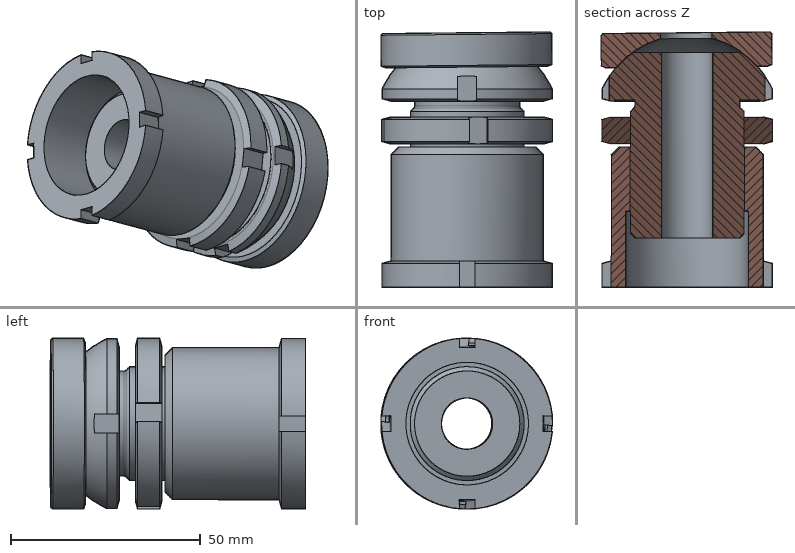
import cadquery as cq
import math


TOTAL_LENGTH = 67.3
OUTER_RADIUS = 22.55
THREAD_RADIUS = 15.0
BORE_RADIUS = 6.7
EDGE_TOLERANCE = 0.1
RIM_BEVEL_ANGLE = 15.0
SLOT_COUNT = 4
SPANNER_SLOT_WIDTH = 5.0

SLEEVE_RADIUS = 20.05
SLEEVE_LENGTH = 37.0
SLEEVE_CHAMFER = 2.0
FLANGE_THICKNESS = 7.0
CLEARANCE_RADIUS = 16.15
CLEARANCE_DEPTH = 20.0
FLANGE_SLOT_WIDTH = 4.05

SPINDLE_START = 13.0
THREAD_END = 47.4
NECK_RADIUS = 13.85
THREAD_CHAMFER = THREAD_RADIUS - NECK_RADIUS
NECK_FILLET = 0.75
HEAD_START = 49.0
HEAD_BEVEL_RADIUS = 20.05
HEAD_RECESS_RADIUS = 19.1
HEAD_RECESS_DEPTH = 0.35
BALL_START = 52.3
HEAD_END = 61.9
BALL_RADIUS = 25.0
BALL_CENTRE = BALL_START - math.sqrt(BALL_RADIUS**2 - OUTER_RADIUS**2)
HEAD_SLOT_FLOOR = 20.5

NUT_START = 37.8
NUT_THICKNESS = 7.0
NUT_BEVEL_RADIUS = 20.4
NUT_SLOT_FLOOR = NUT_BEVEL_RADIUS
NUT_TURN = 7.8

WASHER_THICKNESS = 9.1
WASHER_FRONT_BEVEL = 1.2
WASHER_CHAMFER = 0.5
WASHER_TILT = 0.57
TILT = math.radians(WASHER_TILT)
WASHER_EDGE_RISE = (OUTER_RADIUS - WASHER_CHAMFER) * math.sin(TILT)
WASHER_END = BALL_CENTRE + (TOTAL_LENGTH - BALL_CENTRE - WASHER_EDGE_RISE) / math.cos(TILT)
WASHER_START = WASHER_END - WASHER_THICKNESS


def bevel_depth(inner_radius):
    """Axial depth of a shallow bevel from inner_radius out to the outer radius."""
    return (OUTER_RADIUS - inner_radius) * math.tan(math.radians(RIM_BEVEL_ANGLE))


def revolve_about_y(outline):
    """Turn a closed outline of radius (X) and height (Y) about the Y axis."""
    return outline.close().revolve(360, (0, 0, 0), (0, 1, 0))


def rim_slots(width, floor_radius, start, end, turn=0.0):
    """Flat-bottomed slots spaced evenly around the rim, from start to end along Y."""
    depth = 2 * (OUTER_RADIUS - floor_radius)
    slots = cq.Workplane("XY")
    for index in range(SLOT_COUNT):
        slot = (
            cq.Workplane("XY")
            .box(width, end - start, depth, centered=(True, False, False))
            .translate((0, start, floor_radius))
            .rotate((0, 0, 0), (0, 1, 0), turn + index * 360 / SLOT_COUNT)
        )
        slots = slots.add(slot)
    return slots.combine()


def make_sleeve():
    bevel_start = FLANGE_THICKNESS - bevel_depth(SLEEVE_RADIUS)
    body = revolve_about_y(
        cq.Workplane("XY")
        .moveTo(CLEARANCE_RADIUS, 0)
        .lineTo(OUTER_RADIUS, 0)
        .lineTo(OUTER_RADIUS, bevel_start)
        .lineTo(SLEEVE_RADIUS, FLANGE_THICKNESS)
        .lineTo(SLEEVE_RADIUS, SLEEVE_LENGTH - SLEEVE_CHAMFER)
        .lineTo(SLEEVE_RADIUS - SLEEVE_CHAMFER, SLEEVE_LENGTH)
        .lineTo(THREAD_RADIUS, SLEEVE_LENGTH)
        .lineTo(THREAD_RADIUS, CLEARANCE_DEPTH)
        .lineTo(CLEARANCE_RADIUS, CLEARANCE_DEPTH)
    )
    return body.cut(rim_slots(FLANGE_SLOT_WIDTH, SLEEVE_RADIUS, 0, FLANGE_THICKNESS))


def make_spindle():
    ball_end_radius = math.sqrt(BALL_RADIUS**2 - (HEAD_END - BALL_CENTRE) ** 2)
    ball_mid_radius = math.sqrt(BALL_RADIUS**2 - (WASHER_START - BALL_CENTRE) ** 2)
    body = revolve_about_y(
        cq.Workplane("XY")
        .moveTo(BORE_RADIUS, SPINDLE_START)
        .lineTo(NECK_RADIUS, SPINDLE_START)
        .lineTo(THREAD_RADIUS, SPINDLE_START + THREAD_CHAMFER)
        .lineTo(THREAD_RADIUS, THREAD_END - THREAD_CHAMFER)
        .lineTo(NECK_RADIUS, THREAD_END)
        .lineTo(NECK_RADIUS, HEAD_START + HEAD_RECESS_DEPTH)
        .lineTo(HEAD_RECESS_RADIUS, HEAD_START + HEAD_RECESS_DEPTH)
        .lineTo(HEAD_RECESS_RADIUS, HEAD_START)
        .lineTo(HEAD_BEVEL_RADIUS, HEAD_START)
        .lineTo(OUTER_RADIUS, HEAD_START + bevel_depth(HEAD_BEVEL_RADIUS))
        .lineTo(OUTER_RADIUS, BALL_START)
        .threePointArc((ball_mid_radius, WASHER_START), (ball_end_radius, HEAD_END))
        .lineTo(BORE_RADIUS, HEAD_END)
    )
    neck_corner = cq.selectors.BoxSelector(
        (-THREAD_RADIUS, THREAD_END - EDGE_TOLERANCE, -THREAD_RADIUS),
        (THREAD_RADIUS, THREAD_END + EDGE_TOLERANCE, THREAD_RADIUS),
        boundingbox=True,
    )
    body = body.edges(neck_corner).fillet(NECK_FILLET)
    return body.cut(rim_slots(SPANNER_SLOT_WIDTH, HEAD_SLOT_FLOOR, HEAD_START, WASHER_START))


def make_lock_nut():
    nut_end = NUT_START + NUT_THICKNESS
    bevel = bevel_depth(NUT_BEVEL_RADIUS)
    body = revolve_about_y(
        cq.Workplane("XY")
        .moveTo(THREAD_RADIUS, NUT_START)
        .lineTo(NUT_BEVEL_RADIUS, NUT_START)
        .lineTo(OUTER_RADIUS, NUT_START + bevel)
        .lineTo(OUTER_RADIUS, nut_end - bevel)
        .lineTo(NUT_BEVEL_RADIUS, nut_end)
        .lineTo(THREAD_RADIUS, nut_end)
    )
    return body.cut(rim_slots(SPANNER_SLOT_WIDTH, NUT_SLOT_FLOOR, NUT_START, nut_end, NUT_TURN))


def make_washer():
    blank = revolve_about_y(
        cq.Workplane("XY")
        .moveTo(BORE_RADIUS, WASHER_START)
        .lineTo(OUTER_RADIUS - WASHER_FRONT_BEVEL, WASHER_START)
        .lineTo(OUTER_RADIUS, WASHER_START + WASHER_CHAMFER)
        .lineTo(OUTER_RADIUS, WASHER_END - WASHER_CHAMFER)
        .lineTo(OUTER_RADIUS - WASHER_CHAMFER, WASHER_END)
        .lineTo(BORE_RADIUS, WASHER_END)
    )
    ball = cq.Workplane("XY").sphere(BALL_RADIUS).translate((0, BALL_CENTRE, 0))
    return blank.cut(ball).rotate((0, BALL_CENTRE, 0), (0, BALL_CENTRE, 1), WASHER_TILT)


sleeve = make_sleeve()
spindle = make_spindle()
lock_nut = make_lock_nut()
washer = make_washer()

result = cq.Compound.makeCompound([sleeve.val(), spindle.val(), lock_nut.val(), washer.val()])